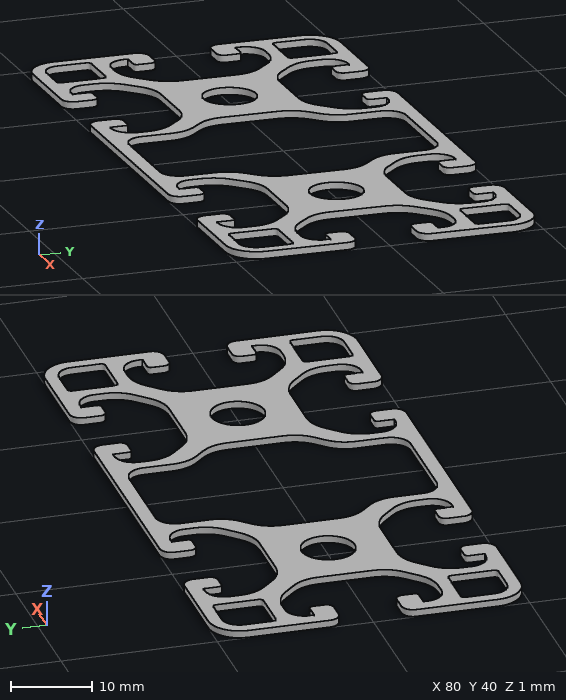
import cadquery as cq

length = 80.0
width = 40.0
thickness = 1.0
outer_radius = 4.0
cell_center = length / 4

mouth_half = 4.0
slot_half = 10.0
lip_inner_half = (mouth_half + slot_half) / 2
lip_depth = 4.5
face_wall = 2.0
floor_depth = 12.2
slot_slope_sum = 17.8
mouth_radius = 1.5
lip_tip_radius = 1.0
lip_heel_radius = 0.5
slot_shoulder_radius = 2.5
web_radius = 5.0

box_wall = 1.8
box_side = 6.4
box_outer_radius = outer_radius - box_wall
box_small_radius = 0.5

chamber_side = cell_center - slot_half - box_wall
chamber_waist = floor_depth
chamber_slope_sum = 17.9
chamber_corner_radius = 2.5
bore_diameter = 6.8


def prism(points):
    """Extrude a closed polygon through the full plate thickness."""
    return cq.Workplane("XY").polyline(points).close().extrude(thickness)


def round_edges(body, points, radius):
    """Round the vertical edges that stand at the given plan points."""
    for x, y in points:
        edge = cq.selectors.NearestToPointSelector((x, y, thickness / 2))
        body = body.edges("|Z").edges(edge).fillet(radius)
    return body


def mirrored(points):
    """The points together with their mirror images across the Y axis."""
    return points + [(-x, y) for x, y in reversed(points)]


def make_slot():
    """T-slot void that opens upward, with its mouth at y = 0."""
    mouth = (mouth_half, 0)
    lip_tip = (mouth_half, -lip_depth)
    lip_heel = (lip_inner_half, -lip_depth)
    lip_root = (lip_inner_half, -face_wall)
    shoulder = (slot_half, -face_wall)
    slope_top = (slot_half, slot_half - slot_slope_sum)
    slope_bottom = (slot_slope_sum - floor_depth, -floor_depth)
    half = [mouth, lip_tip, lip_heel, lip_root, shoulder, slope_top, slope_bottom]
    slot = prism(mirrored(half))
    slot = round_edges(slot, mirrored([lip_tip]), lip_tip_radius)
    slot = round_edges(slot, mirrored([lip_heel]), lip_heel_radius)
    slot = round_edges(slot, mirrored([shoulder]), slot_shoulder_radius)
    return round_edges(slot, mirrored([slope_top, slope_bottom]), web_radius)


def make_chamber():
    """Waisted void between the two cells."""
    top = width / 2 - face_wall
    corner = (chamber_side, top)
    slope_outer = (chamber_side, chamber_slope_sum - chamber_side)
    slope_inner = (chamber_waist, chamber_slope_sum - chamber_waist)
    right_side = [corner, slope_outer, slope_inner]
    right_side += [(x, -y) for x, y in reversed(right_side)]
    corners = mirrored([corner, (chamber_side, -top)])
    slopes = [point for point in mirrored(right_side) if point not in corners]
    chamber = prism(mirrored(right_side))
    chamber = round_edges(chamber, corners, chamber_corner_radius)
    return round_edges(chamber, slopes, web_radius)


def make_corner_box():
    """Hollow box in the corner where x and y are both positive."""
    right = length / 2 - box_wall
    top = width / 2 - box_wall
    left = right - box_side
    bottom = top - box_side
    outer_corner = (right, top)
    small_corners = [(left, top), (left, bottom), (right, bottom)]
    box = prism([outer_corner] + small_corners)
    box = round_edges(box, [outer_corner], box_outer_radius)
    return round_edges(box, small_corners, box_small_radius)


result = cq.Workplane("XY").rect(length, width).extrude(thickness).edges("|Z").fillet(outer_radius)

slot_void = make_slot()
slots = [(x, width / 2, turn) for x in (-cell_center, cell_center) for turn in (0, 180)]
slots += [(0, length / 2, turn) for turn in (90, 270)]
for along, outward, turn in slots:
    placed = slot_void.translate((along, outward, 0))
    result = result.cut(placed.rotate((0, 0, 0), (0, 0, 1), turn))

mouths = []
for side in (-1, 1):
    for edge in (-mouth_half, mouth_half):
        mouths.append((side * length / 2, edge))
        mouths += [(x + edge, side * width / 2) for x in (-cell_center, cell_center)]
result = round_edges(result, mouths, mouth_radius)

result = result.cut(make_chamber())
corner_box = make_corner_box()
for box in (corner_box, corner_box.mirror("YZ")):
    result = result.cut(box).cut(box.mirror("XZ"))
bores = cq.Workplane("XY").pushPoints([(-cell_center, 0), (cell_center, 0)])
result = result.cut(bores.circle(bore_diameter / 2).extrude(thickness))